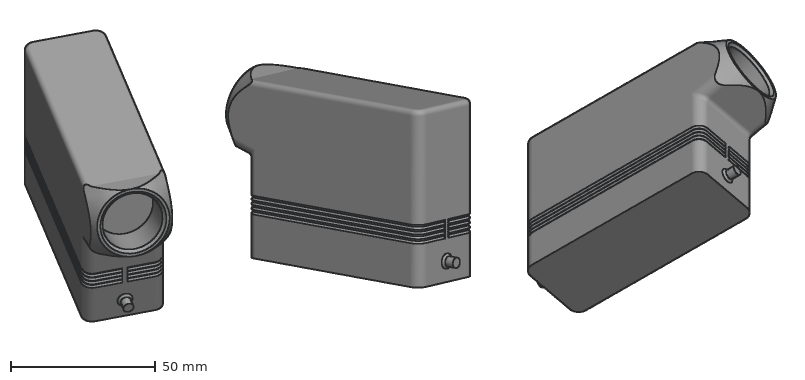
import cadquery as cq
import math

total_length = 98.0
total_height = 64.8
body_length = 79.6
body_width = 29.4
body_height = 62.8
corner_radius = 3.9
top_radius = 2.0

square_end_height = 49.0

pin_radius = 1.9
pin_reach = 4.4
pin_height = 7.4
pin_collar = 0.9
pin_root = 1.0

groove_count = 4
groove_pitch = 1.7
groove_depth = 0.6
groove_bottom = 15.6
groove_gap = 1.9

outlet_tilt = 15.0
outlet_radius = 13.0
outlet_length = 19.6
outlet_cone_angle = 33.0
neck_fillet = 1.8
cone_margin = 2.9
bore_radius = 10.8
bore_chamfer = 1.1
bore_depth = 13.7

outlet_tip_x = total_length - body_length / 2 - pin_reach
tilt = math.radians(outlet_tilt)
outlet_plane = cq.Plane(
    origin=(
        outlet_tip_x - outlet_radius * math.sin(tilt),
        0,
        total_height - outlet_radius * math.cos(tilt),
    ),
    xDir=(0, 1, 0),
    normal=(math.cos(tilt), 0, math.sin(tilt)),
)


def rounded_prism(length, height):
    """Upright block of the body width with rounded corners, starting at the -X end wall."""
    block = cq.Workplane("XY").box(length, body_width, height, centered=(False, True, False))
    return block.edges("|Z").fillet(corner_radius).translate((-body_length / 2, 0, 0))


def make_body():
    """Upright block whose rounded top rim and upper end run square into the neck at +X."""
    crown = rounded_prism(body_length + 2 * corner_radius, body_height)
    crown = crown.faces(">Z").edges().fillet(top_radius)
    square_end = cq.Workplane("XY", origin=(0, 0, square_end_height)).box(
        body_length / 2, body_width, body_height - square_end_height, centered=(False, True, False)
    )
    return crown.intersect(rounded_prism(body_length, body_height).union(square_end))


def make_neck():
    """Tilted block behind the outlet face, running back into the body."""
    section = (
        cq.Sketch()
        .rect(body_width, 2 * outlet_radius)
        .vertices("<Y")
        .fillet(corner_radius)
        .reset()
        .vertices(">Y")
        .fillet(top_radius)
    )
    return cq.Workplane(outlet_plane).placeSketch(section).extrude(-outlet_length)


def make_outlet_cone():
    """Ring whose removal tapers the neck from its full section to the round outlet rim."""
    reach = math.hypot(body_width / 2, outlet_radius) + cone_margin
    depth = (reach - outlet_radius) / math.tan(math.radians(outlet_cone_angle))
    ring = (
        cq.Workplane("XZ")
        .polyline([(outlet_radius, 0), (reach, 0), (reach, -depth)])
        .close()
        .revolve(360, (0, 0, 0), (0, 1, 0))
    )
    return cq.Workplane(ring.val().moved(outlet_plane.location))


def make_bore():
    """Blind round bore with a chamfered mouth."""
    bore = cq.Workplane(outlet_plane).circle(bore_radius).extrude(-bore_depth)
    mouth = cq.Solid.makeCone(bore_radius, bore_radius + bore_chamfer, bore_chamfer)
    mouth = mouth.moved(cq.Location(cq.Vector(0, 0, -bore_chamfer)))
    return bore.union(cq.Workplane(mouth.moved(outlet_plane.location)))


def make_grooves():
    """Stacked V grooves around the body, interrupted at the middle of both end walls."""
    wall = body_width / 2
    cutter = cq.Workplane("XY")
    outline = rounded_prism(body_length, groove_pitch).faces("<Z").wires().val()
    for i in range(groove_count):
        low = groove_bottom + i * groove_pitch
        groove = (
            cq.Workplane("YZ")
            .moveTo(-wall, low)
            .lineTo(-wall + groove_depth, low + groove_pitch / 2)
            .lineTo(-wall, low + groove_pitch)
            .close()
            .sweep(cq.Workplane(outline.moved(cq.Location(cq.Vector(0, 0, low)))))
        )
        cutter = cutter.add(groove)
    height = groove_count * groove_pitch
    bridge = cq.Workplane("XY").box(2 * body_length, groove_gap, height, centered=(True, True, False))
    return cutter.combine().cut(bridge.translate((0, 0, groove_bottom)))


def make_pin(side):
    """Round pin with a conical root on the end wall at side -1 or +1."""
    wall = body_length / 2
    return (
        cq.Workplane("XY", origin=(0, 0, pin_height))
        .moveTo(wall - pin_root, 0)
        .lineTo(wall - pin_root, pin_radius + pin_collar)
        .lineTo(wall, pin_radius + pin_collar)
        .lineTo(wall + pin_collar, pin_radius)
        .lineTo(wall + pin_reach, pin_radius)
        .lineTo(wall + pin_reach, 0)
        .close()
        .revolve(360, (0, 0, 0), (1, 0, 0))
        .rotate((0, 0, 0), (0, 0, 1), 90 - 90 * side)
    )


def round_neck_corner(hood):
    """Round the concave corner where the neck underside meets the +X end wall."""
    search_box = cq.selectors.BoxSelector(
        (body_length / 2 - corner_radius / 2, -body_width / 2, corner_radius),
        (body_length / 2 + corner_radius / 2, body_width / 2, square_end_height),
    )
    return hood.edges("|Y").edges(search_box).fillet(neck_fillet)


hood = round_neck_corner(make_body().union(make_neck()))
hood = hood.cut(make_outlet_cone()).cut(make_bore()).cut(make_grooves())
result = hood.union(make_pin(-1)).union(make_pin(1))